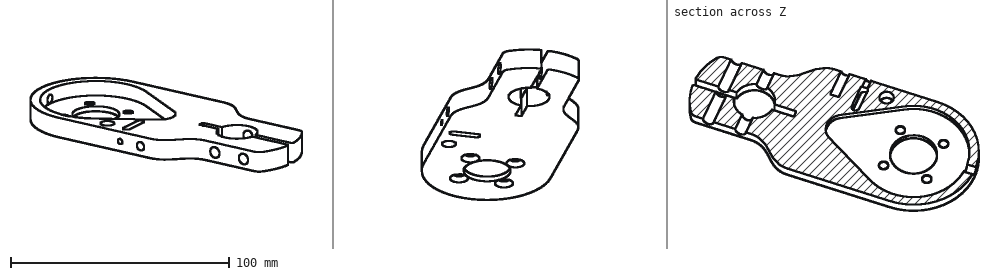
import cadquery as cq
import math

body_width = 60.0
thickness = 9.5
body_radius = body_width / 2

arm_width = 35.9
shoulder_start_x = 50.1
shoulder_end_x = 73.3

clamp_x = 78.3
tip_radius = 29.8
tip_x = clamp_x + tip_radius
clamp_diameter = 18.8
split_width = 2.9
split_start_x = 58.4
arm_corner_radius = 4.0
split_corner_radius = 1.0

pocket_radius = 25.5
pocket_tip_radius = 8.0
pocket_tip_x = 34.5
floor_thickness = 2.5

bore_diameter = 21.5
mount_diameter = 4.3
mount_spacing = 21.3
countersink_diameter = 8.3
countersink_angle = 90
pin_diameter = 6.3
pin_x = 22.5
pin_y = -23.7
slot_x = 33.8
slot_y = -19.0
slot_length = 14.4
slot_width = 3.5

clamp_screw_diameter = 5.1
clamp_screw_positions = (78.1, 94.0)
set_screw_diameter = 2.5
edge_hole_diameter = 4.0
edge_hole_x = 45.1
edge_hole_depth = 13.8


def plate():
    """Round-ended body narrowing to an arm with a rounded tip."""
    half_arm = arm_width / 2
    shoulder_middle_x = (shoulder_start_x + shoulder_end_x) / 2
    arm_end_x = clamp_x + math.sqrt(tip_radius**2 - half_arm**2)
    shoulder_curve = [
        (shoulder_middle_x, body_radius),
        (shoulder_middle_x, half_arm),
        (shoulder_end_x, half_arm),
    ]
    mirrored_curve = [
        (shoulder_middle_x, -half_arm),
        (shoulder_middle_x, -body_radius),
        (shoulder_start_x, -body_radius),
    ]
    body = (
        cq.Workplane("XY")
        .moveTo(0, body_radius)
        .lineTo(shoulder_start_x, body_radius)
        .bezier(shoulder_curve, includeCurrent=True)
        .lineTo(arm_end_x, half_arm)
        .threePointArc((tip_x, 0), (arm_end_x, -half_arm))
        .lineTo(shoulder_end_x, -half_arm)
        .bezier(mirrored_curve, includeCurrent=True)
        .lineTo(0, -body_radius)
        .threePointArc((-body_radius, 0), (0, body_radius))
        .close()
        .extrude(thickness)
    )
    return body.edges("|Z").edges(">X").fillet(arm_corner_radius)


def clamp_cut():
    """Clamp bore with the split that runs out through the arm tip."""
    split_length = tip_x - split_start_x
    split = cq.Workplane("XY").box(
        split_length, split_width, thickness, centered=(False, True, False)
    ).translate((split_start_x, 0, 0))
    bore = cq.Workplane("XY").center(clamp_x, 0).circle(clamp_diameter / 2).extrude(thickness)
    return split.union(bore)


def pocket():
    """Teardrop bounded by two circles and their common tangents."""
    tangent_angle = math.acos((pocket_radius - pocket_tip_radius) / pocket_tip_x)
    cos_a = math.cos(tangent_angle)
    sin_a = math.sin(tangent_angle)
    wide_x = pocket_radius * cos_a
    wide_y = pocket_radius * sin_a
    narrow_x = pocket_tip_x + pocket_tip_radius * cos_a
    narrow_y = pocket_tip_radius * sin_a
    return (
        cq.Workplane("XY", origin=(0, 0, floor_thickness))
        .moveTo(wide_x, wide_y)
        .threePointArc((-pocket_radius, 0), (wide_x, -wide_y))
        .lineTo(narrow_x, -narrow_y)
        .threePointArc((pocket_tip_x + pocket_tip_radius, 0), (narrow_x, narrow_y))
        .close()
        .extrude(thickness - floor_thickness)
    )


def plate_holes():
    """Main bore, its four mounting holes countersunk from below, the pin hole and the slot."""
    base = cq.Workplane("XY")
    bore = base.circle(bore_diameter / 2).extrude(thickness)
    cone_angle = math.radians(countersink_angle / 2)
    cone_depth = (countersink_diameter - mount_diameter) / 2 / math.tan(cone_angle)
    mount_hole = cq.Workplane("XY").circle(mount_diameter / 2).extrude(thickness)
    mount_hole = mount_hole.union(
        cq.Workplane(cq.Solid.makeCone(countersink_diameter / 2, mount_diameter / 2, cone_depth))
    )
    mounts = (
        base.rect(mount_spacing, mount_spacing, forConstruction=True)
        .vertices()
        .eachpoint(lambda place: mount_hole.val().moved(place))
    )
    pin = base.center(pin_x, pin_y).circle(pin_diameter / 2).extrude(thickness)
    slot = base.center(slot_x, slot_y).slot2D(slot_length, slot_width, 90).extrude(thickness)
    return bore.union(mounts).union(pin).union(slot)


def side_hole(x, diameter, depth):
    """Cylinder running in +Y from the -Y face of the body."""
    start = cq.Vector(x, -body_radius, thickness / 2)
    return cq.Solid.makeCylinder(diameter / 2, depth, start, cq.Vector(0, 1, 0))


result = plate().cut(clamp_cut()).cut(pocket()).cut(plate_holes())

split_mouth = cq.selectors.BoxSelector(
    (tip_x - split_width, -split_width, 0), (tip_x + split_width, split_width, thickness)
)
result = result.edges(split_mouth).edges("|Z").fillet(split_corner_radius)

for screw_x in clamp_screw_positions:
    result = result.cut(side_hole(screw_x, clamp_screw_diameter, body_width))

result = result.cut(side_hole(slot_x, set_screw_diameter, slot_y + body_radius))
result = result.cut(side_hole(edge_hole_x, edge_hole_diameter, edge_hole_depth))

end_hole = cq.Solid.makeCylinder(
    edge_hole_diameter / 2,
    body_radius - bore_diameter / 2,
    cq.Vector(-body_radius, 0, thickness / 2),
    cq.Vector(1, 0, 0),
)
result = result.cut(end_hole)